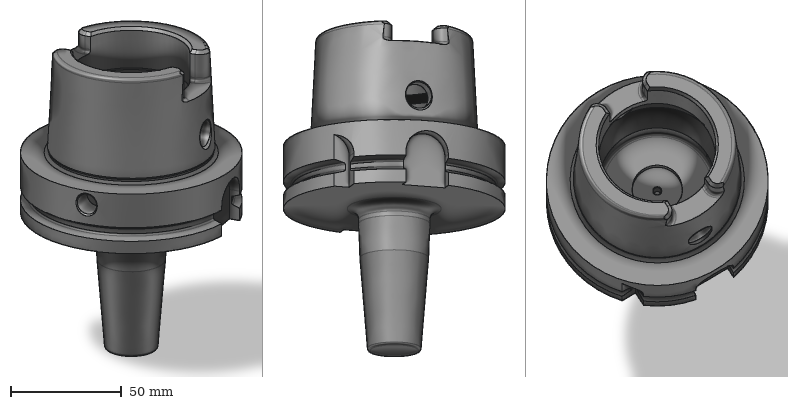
import cadquery as cq
import math

total_height = 144.9
flange_top = 94.9
flange_bottom = 66.0

shank_tip_radius = 12.0
tip_rounding = 1.2
shank_cone_top_radius = 15.5
shank_cone_top = 43.0
neck_radius = 16.1
neck_start = 58.8
neck_fillet = 5.0

flange_radius = 50.0
groove_floor_radius = 46.1
groove_middle = 75.2
groove_mouth_width = 6.5
groove_flank_drop = 1.5
groove_floor_fillet = 1.0

taper_top_radius = 35.4
taper_foot_radius = 37.8
taper_foot = 97.7
relief_radius = 37.4
relief_top = 96.8
relief_bottom = 95.9
relief_mouth_radius = 39.3
rim_fillet = 1.9

bore_radius = 26.4
bore_chamfer_radial = 1.2
bore_chamfer_axial = 1.5
undercut_radius = 31.5
undercut_start = 125.2
undercut_end = 104.8
undercut_roof_slope = 30.0
undercut_floor_slope = 70.0
cavity_floor = 83.0
cavity_floor_fillet = 1.6
recess_radius = 11.3
recess_depth = 2.9
centre_hole_radius = 1.7
centre_hole_depth = 5.8
centre_hole_chamfer = 0.3

slot_half_width = 10.0
slot_corner_radius = 5.0
slot_corner_reach = 32.2
slot_foot_fillet = 1.9
slot_rim_chamfer = 1.6
shallow_slot_floor = 135.2
deep_slot_floor = 130.0

cross_hole_radius = 6.1
cross_hole_height = 110.1
cross_hole_sink_start = 36.4

keyway_width = 2 * slot_half_width
keyway_top = 90.3
keyway_floor = 43.9
side_keyway_floor = 31.9
side_keyway_centre = 41.5

flange_hole_radius = 4.8
flange_hole_sink_radius = 5.5
flange_hole_height = 88.1
flange_hole_depth = 11.6
passage_radius = 0.5


def make_body():
    """Solid of revolution for the shank, flange and taper."""
    groove_top = groove_middle + groove_mouth_width / 2
    groove_bottom = groove_middle - groove_mouth_width / 2
    fillet_mid = neck_fillet * (1 - math.sqrt(0.5))
    profile = (
        cq.Workplane("XZ")
        .lineTo(shank_tip_radius, 0)
        .lineTo(shank_cone_top_radius, shank_cone_top)
        .lineTo(neck_radius, neck_start)
        .lineTo(neck_radius, flange_bottom - neck_fillet)
        .threePointArc(
            (neck_radius + fillet_mid, flange_bottom - fillet_mid),
            (neck_radius + neck_fillet, flange_bottom),
        )
        .lineTo(flange_radius, flange_bottom)
        .lineTo(flange_radius, groove_bottom)
        .lineTo(groove_floor_radius, groove_bottom + groove_flank_drop)
        .lineTo(groove_floor_radius, groove_top - groove_flank_drop)
        .lineTo(flange_radius, groove_top)
        .lineTo(flange_radius, flange_top)
        .lineTo(relief_mouth_radius, flange_top)
        .lineTo(relief_radius, relief_bottom)
        .lineTo(relief_radius, relief_top)
        .lineTo(taper_foot_radius, taper_foot)
        .lineTo(taper_top_radius, total_height)
        .lineTo(0, total_height)
        .close()
    )
    body = profile.revolve(360, (0, 0, 0), (0, 1, 0))
    groove_box = cq.selectors.BoxSelector(
        (-flange_radius, -flange_radius, groove_bottom + groove_flank_drop / 2),
        (flange_radius, flange_radius, groove_top - groove_flank_drop / 2),
    )
    body = body.edges(groove_box).edges("%CIRCLE").fillet(groove_floor_fillet)
    body = body.faces("<Z").edges().fillet(tip_rounding)
    return body.faces(">Z").edges().fillet(rim_fillet)


def make_cavity():
    """Stepped cavity with its clamping undercut, floor recess and centre hole."""
    undercut_reach = undercut_radius - bore_radius
    roof_rise = undercut_reach * math.tan(math.radians(undercut_roof_slope))
    floor_drop = undercut_reach * math.tan(math.radians(undercut_floor_slope))
    fillet_mid = cavity_floor_fillet * (1 - math.sqrt(0.5))
    recess_floor = cavity_floor - recess_depth
    return (
        cq.Workplane("XZ")
        .moveTo(0, total_height)
        .lineTo(bore_radius + bore_chamfer_radial, total_height)
        .lineTo(bore_radius, total_height - bore_chamfer_axial)
        .lineTo(bore_radius, undercut_start)
        .lineTo(undercut_radius, undercut_start - roof_rise)
        .lineTo(undercut_radius, undercut_end)
        .lineTo(bore_radius, undercut_end - floor_drop)
        .lineTo(bore_radius, cavity_floor + cavity_floor_fillet)
        .threePointArc(
            (bore_radius - fillet_mid, cavity_floor + fillet_mid),
            (bore_radius - cavity_floor_fillet, cavity_floor),
        )
        .lineTo(recess_radius, cavity_floor)
        .lineTo(recess_radius, recess_floor)
        .lineTo(centre_hole_radius + centre_hole_chamfer, recess_floor)
        .lineTo(centre_hole_radius, recess_floor - centre_hole_chamfer)
        .lineTo(centre_hole_radius, recess_floor - centre_hole_depth)
        .lineTo(0, recess_floor - centre_hole_depth)
        .close()
        .revolve(360, (0, 0, 0), (0, 1, 0))
    )


def make_slot_plan(side, height):
    """Plan of a rim slot, flaring round the ear corners; side is -1 or 1 along X."""
    corner_start = slot_corner_reach - slot_corner_radius
    corner_mid = slot_corner_radius * math.sqrt(0.5)
    corner_centre = slot_half_width + slot_corner_radius
    outer = flange_radius
    return (
        cq.Workplane("XY", origin=(0, 0, height))
        .moveTo(0, -slot_half_width)
        .lineTo(side * corner_start, -slot_half_width)
        .threePointArc(
            (side * (corner_start + corner_mid), corner_mid - corner_centre),
            (side * slot_corner_reach, -corner_centre),
        )
        .lineTo(side * slot_corner_reach, -outer)
        .lineTo(side * outer, -outer)
        .lineTo(side * outer, outer)
        .lineTo(side * slot_corner_reach, outer)
        .lineTo(side * slot_corner_reach, corner_centre)
        .threePointArc(
            (side * (corner_start + corner_mid), corner_centre - corner_mid),
            (side * corner_start, slot_half_width),
        )
        .lineTo(0, slot_half_width)
        .close()
    )


def make_drive_slot(side, floor):
    """Cutter for one rim slot, rounded at its foot and chamfered at the rim."""
    slot = make_slot_plan(side, floor).extrude(total_height - floor)
    slot = slot.faces("<Z").edges().fillet(slot_foot_fillet)
    chamfer = make_slot_plan(side, total_height - slot_rim_chamfer).extrude(slot_rim_chamfer, taper=-45)
    return slot.union(chamfer)


def make_cross_hole():
    """Hole along X through both taper walls, countersunk outside."""
    sink_length = taper_foot_radius - cross_hole_sink_start
    right_half = (
        cq.Workplane("XY", origin=(0, 0, cross_hole_height))
        .lineTo(0, cross_hole_radius)
        .lineTo(cross_hole_sink_start, cross_hole_radius)
        .lineTo(taper_foot_radius, cross_hole_radius + sink_length)
        .lineTo(taper_foot_radius, 0)
        .close()
        .revolve(360, (0, 0, 0), (1, 0, 0))
    )
    return right_half.union(right_half.mirror("YZ"))


def make_keyway(side, floor, centre_y):
    """Round-topped keyway cutter, open at the flange bottom and facing side along X."""
    half_width = keyway_width / 2
    arc_centre = keyway_top - half_width
    return (
        cq.Workplane("YZ", origin=(side * floor, 0, 0))
        .moveTo(centre_y - half_width, flange_bottom)
        .lineTo(centre_y - half_width, arc_centre)
        .threePointArc((centre_y, keyway_top), (centre_y + half_width, arc_centre))
        .lineTo(centre_y + half_width, flange_bottom)
        .close()
        .extrude(side * (flange_radius - floor))
    )


def make_flange_hole():
    """Countersunk blind hole on the -Y side with a fine passage on to the cavity."""
    sink_depth = flange_hole_sink_radius - flange_hole_radius
    hole_floor = flange_hole_depth - flange_radius
    return (
        cq.Workplane("XY", origin=(0, 0, flange_hole_height))
        .moveTo(0, -flange_radius)
        .lineTo(flange_hole_sink_radius, -flange_radius)
        .lineTo(flange_hole_radius, sink_depth - flange_radius)
        .lineTo(flange_hole_radius, hole_floor)
        .lineTo(passage_radius, hole_floor)
        .lineTo(passage_radius, -bore_radius + passage_radius)
        .lineTo(0, -bore_radius + passage_radius)
        .close()
        .revolve(360, (0, 0, 0), (0, 1, 0))
    )


result = make_body()
result = result.cut(make_drive_slot(-1, shallow_slot_floor))
result = result.cut(make_drive_slot(1, deep_slot_floor))
result = result.cut(make_cavity())
result = result.cut(make_cross_hole())
for side in (-1, 1):
    result = result.cut(make_keyway(side, keyway_floor, 0))
result = result.cut(make_keyway(-1, side_keyway_floor, side_keyway_centre))
result = result.cut(make_flange_hole())